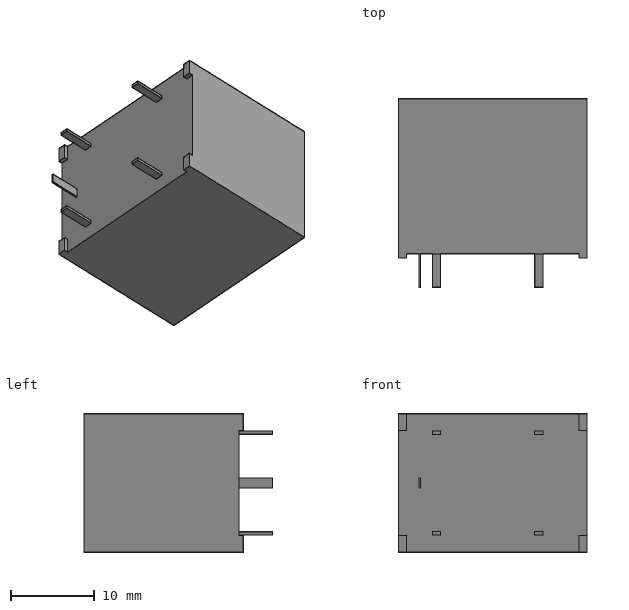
import cadquery as cq

case_width = 22.5
case_height = 16.5
case_depth = 18.5

foot_width = 1.0
foot_height = 2.0
foot_depth = 0.5

pin_length = 4.0
common_pin_inset = 2.55
common_pin_width = 0.2
common_pin_height = 1.2
row_pin_width = 1.0
row_pin_height = 0.4
first_column_inset = 4.55
column_spacing = 12.2
row_spacing = 12.0


def block_on_base(x, z, width, height, depth):
    """Block centred at (x, z), from the base plane Y = 0 towards -Y (towards +Y if depth is negative)."""
    return cq.Workplane("XZ").center(x, z).rect(width, height).extrude(depth)


def make_case():
    return block_on_base(0, 0, case_width, case_height, -case_depth)


def add_feet(body):
    foot_x = (case_width - foot_width) / 2
    foot_z = (case_height - foot_height) / 2
    for x in (-foot_x, foot_x):
        for z in (-foot_z, foot_z):
            body = body.union(block_on_base(x, z, foot_width, foot_height, foot_depth))
    return body


def add_pins(body):
    left_side = -case_width / 2
    common_x = left_side + common_pin_inset
    common_pin = block_on_base(common_x, 0, common_pin_width, common_pin_height, pin_length)
    body = body.union(common_pin)
    first_column_x = left_side + first_column_inset
    for x in (first_column_x, first_column_x + column_spacing):
        for z in (-row_spacing / 2, row_spacing / 2):
            body = body.union(block_on_base(x, z, row_pin_width, row_pin_height, pin_length))
    return body


result = add_pins(add_feet(make_case()))